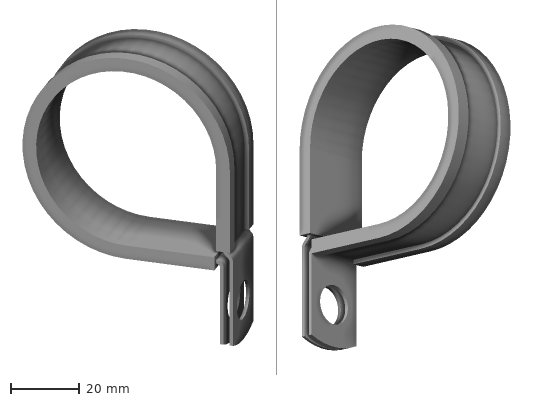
import cadquery as cq
import math


overall_length = 64.4
overall_height = 90.0

loop_diameter = 64.0
loop_radius = loop_diameter / 2
loop_width = 22.1
cushion_thickness = 4.2
groove_width = 13.8
groove_depth = 1.35
side_leg_end = -25.7
bottom_leg_end = 27.2

strap_thickness = 1.1
strap_width = 19.2
bend_radius = 1.7
strap_radius = loop_radius - cushion_thickness / 2
outer_tab_face = overall_length - loop_radius
outer_tab_x = outer_tab_face - strap_thickness / 2
bend_start = 0.2
jog_angle = math.radians(45)
strap_embed = 0.9

tab_bottom = overall_height - loop_radius
tip_sag = 2.0
hole_diameter = 11.9
hole_z = -45.3


def loop_band(outer_radius, inner_radius, width):
    """Three-quarter ring with two straight tangent legs, centred on Y."""
    outline = (
        cq.Workplane("XZ")
        .moveTo(outer_radius, side_leg_end)
        .lineTo(outer_radius, 0)
        .threePointArc(
            (-outer_radius * math.sqrt(0.5), outer_radius * math.sqrt(0.5)),
            (0, -outer_radius),
        )
        .lineTo(bottom_leg_end, -outer_radius)
        .lineTo(bottom_leg_end, -inner_radius)
        .lineTo(0, -inner_radius)
        .threePointArc(
            (-inner_radius * math.sqrt(0.5), inner_radius * math.sqrt(0.5)),
            (inner_radius, 0),
        )
        .lineTo(inner_radius, side_leg_end)
        .close()
    )
    return outline.extrude(width / 2, both=True)


def make_cushion():
    """Loop of full width with a shallow groove around its outer face."""
    inner_radius = loop_radius - cushion_thickness
    band = loop_band(loop_radius, inner_radius, loop_width)
    groove = loop_band(loop_radius, loop_radius - groove_depth, groove_width)
    return band.cut(groove)


def make_outer_tab():
    """Tab that jogs outward below the vertical leg, then hangs down."""
    arc_x = bend_radius * (1 - math.cos(jog_angle))
    arc_z = bend_radius * math.sin(jog_angle)
    slope_x = outer_tab_x - strap_radius - 2 * arc_x
    slope_z = slope_x / math.tan(jog_angle)
    path = (
        cq.Workplane("XZ")
        .moveTo(strap_radius, side_leg_end + strap_embed)
        .lineTo(strap_radius, side_leg_end)
        .tangentArcPoint((arc_x, -arc_z))
        .line(slope_x, -slope_z)
        .tangentArcPoint((arc_x, -arc_z))
        .lineTo(outer_tab_x, -tab_bottom)
    )
    section = cq.Workplane("XY", origin=(strap_radius, 0, side_leg_end + strap_embed))
    return section.rect(strap_thickness, strap_width).sweep(path)


def make_inner_tab():
    """Tab that bends straight down from the end of the horizontal leg."""
    path = (
        cq.Workplane("XZ")
        .moveTo(bottom_leg_end - strap_embed, -strap_radius)
        .lineTo(bottom_leg_end + bend_start, -strap_radius)
        .tangentArcPoint((bend_radius, -bend_radius))
        .vLineTo(-tab_bottom)
    )
    section = cq.Workplane("YZ", origin=(bottom_leg_end - strap_embed, 0, -strap_radius))
    return section.rect(strap_width, strap_thickness).sweep(path)


def make_tab_outline():
    """Solid along X whose YZ outline gives the rounded tips and bolt hole."""
    half_width = strap_width / 2
    outline = (
        cq.Workplane("YZ")
        .moveTo(-half_width, 0)
        .lineTo(-half_width, -tab_bottom + tip_sag)
        .threePointArc((0, -tab_bottom), (half_width, -tab_bottom + tip_sag))
        .lineTo(half_width, 0)
        .close()
        .extrude(overall_length)
    )
    hole = (
        cq.Workplane("YZ")
        .center(0, hole_z)
        .circle(hole_diameter / 2)
        .extrude(overall_length)
    )
    return outline.cut(hole)


tabs = make_outer_tab().union(make_inner_tab()).intersect(make_tab_outline())
result = make_cushion().union(tabs)